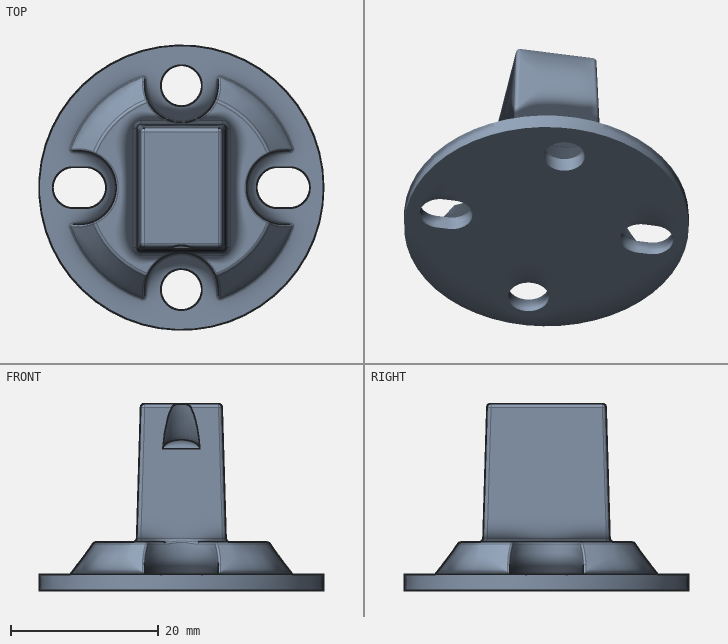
import cadquery as cq
import math

FLANGE_RADIUS = 19.35
FLANGE_THICKNESS = 2.2

HUB_BASE_RADIUS = 16.05
HUB_TOP_RADIUS = 12.82
HUB_TOP_Z = 6.62
HUB_ROUNDING = 0.25
FOOT_ROUNDING = 0.25

BOLT_RADIUS = 13.85
HOLE_DIAMETER = 5.55
SLOT_LENGTH = 7.2
POCKET_RADIUS = 5.0

POST_BASE_X = 12.2
POST_BASE_Y = 17.3
POST_TOP_Z = 25.45
POST_DRAFT = 1.7
POST_ROUNDING = 0.55

NOTCH_RADIUS = 2.5
NOTCH_BOTTOM_Z = 19.33
NOTCH_TILT = 16.0
NOTCH_TAPER = 4.0
NOTCH_FLOOR_SLOPE = 28.0

MARGIN = 0.05


def make_flange():
    return cq.Workplane("XY").circle(FLANGE_RADIUS).extrude(FLANGE_THICKNESS)


def make_hub():
    """Truncated cone on a disc that fills the middle of the flange."""
    return (
        cq.Workplane("XZ")
        .moveTo(0, 0)
        .lineTo(HUB_BASE_RADIUS, 0)
        .lineTo(HUB_BASE_RADIUS, FLANGE_THICKNESS)
        .lineTo(HUB_TOP_RADIUS, HUB_TOP_Z)
        .lineTo(0, HUB_TOP_Z)
        .close()
        .revolve(360, (0, 0, 0), (0, 1, 0))
    )


def make_pockets():
    """Four U-shaped cutters, round towards the centre and open outwards."""
    height = HUB_TOP_Z - FLANGE_THICKNESS + POST_ROUNDING
    cutter = (
        cq.Workplane("XY", origin=(0, 0, FLANGE_THICKNESS))
        .moveTo(BOLT_RADIUS, -POCKET_RADIUS)
        .lineTo(FLANGE_RADIUS, -POCKET_RADIUS)
        .lineTo(FLANGE_RADIUS, POCKET_RADIUS)
        .lineTo(BOLT_RADIUS, POCKET_RADIUS)
        .threePointArc((BOLT_RADIUS - POCKET_RADIUS, 0), (BOLT_RADIUS, -POCKET_RADIUS))
        .close()
        .extrude(height)
    )
    cutters = cutter
    for quarter in range(1, 4):
        cutters = cutters.union(cutter.rotate((0, 0, 0), (0, 0, 1), 90 * quarter))
    return cutters


def make_post():
    height = POST_TOP_Z - HUB_TOP_Z
    post = (
        cq.Workplane("XY", origin=(0, 0, HUB_TOP_Z))
        .rect(POST_BASE_X, POST_BASE_Y)
        .extrude(height, taper=POST_DRAFT)
    )
    return post.edges("not <Z").fillet(POST_ROUNDING)


def make_notch():
    """Leaning cone centred on the notch's front edge, cut off below by a sloping floor."""
    face_inset = (NOTCH_BOTTOM_Z - HUB_TOP_Z) * math.tan(math.radians(POST_DRAFT))
    front_edge = (0, face_inset - POST_BASE_Y / 2, NOTCH_BOTTOM_Z)
    reach = 4 * NOTCH_RADIUS
    cone = (
        cq.Workplane("XY")
        .circle(NOTCH_RADIUS)
        .extrude(reach, taper=NOTCH_TAPER)
        .rotate((0, 0, 0), (1, 0, 0), NOTCH_TILT)
    )
    above_floor = (
        cq.Workplane("XY")
        .box(2 * reach, 2 * reach, reach, centered=(True, True, False))
        .rotate((0, 0, 0), (1, 0, 0), NOTCH_FLOOR_SLOPE)
    )
    return cone.intersect(above_floor).translate(front_edge)


def make_screw_openings():
    """Round holes on the Y axis and radial slots on the X axis."""
    holes = (
        cq.Workplane("XY")
        .pushPoints([(0, BOLT_RADIUS), (0, -BOLT_RADIUS)])
        .circle(HOLE_DIAMETER / 2)
        .extrude(FLANGE_THICKNESS)
    )
    slots = (
        cq.Workplane("XY")
        .pushPoints([(BOLT_RADIUS, 0), (-BOLT_RADIUS, 0)])
        .slot2D(SLOT_LENGTH, HOLE_DIAMETER)
        .extrude(FLANGE_THICKNESS)
    )
    return holes.union(slots)


def box_around(half_x, half_y, low_z, high_z, whole_edge=False):
    """Selector for edges centred in, or wholly inside, a box around the Z axis."""
    return cq.selectors.BoxSelector(
        (-half_x, -half_y, low_z),
        (half_x, half_y, high_z),
        boundingbox=whole_edge,
    )


def make_body():
    """Flange, hub and post joined, with all their meeting edges rounded."""
    body = make_hub().union(make_post())

    post_foot = box_around(
        POST_BASE_X / 2 + MARGIN,
        POST_BASE_Y / 2 + MARGIN,
        HUB_TOP_Z - MARGIN,
        HUB_TOP_Z + MARGIN,
    )
    body = body.edges(post_foot).fillet(POST_ROUNDING)

    body = body.cut(make_pockets())
    hub_edges = box_around(
        FLANGE_RADIUS, FLANGE_RADIUS, FLANGE_THICKNESS + MARGIN, HUB_TOP_Z + POST_ROUNDING / 2
    )
    post_edges = box_around(
        POST_BASE_X / 2 + POST_ROUNDING - MARGIN,
        POST_BASE_Y / 2 + POST_ROUNDING - MARGIN,
        HUB_TOP_Z - MARGIN,
        POST_TOP_Z,
    )
    body = body.edges(hub_edges - post_edges).fillet(HUB_ROUNDING)

    body = body.union(make_flange())
    hub_foot = box_around(
        HUB_BASE_RADIUS + MARGIN,
        HUB_BASE_RADIUS + MARGIN,
        FLANGE_THICKNESS - MARGIN,
        FLANGE_THICKNESS + MARGIN,
        whole_edge=True,
    )
    return body.edges(hub_foot).fillet(FOOT_ROUNDING)


result = make_body().cut(make_screw_openings()).cut(make_notch())